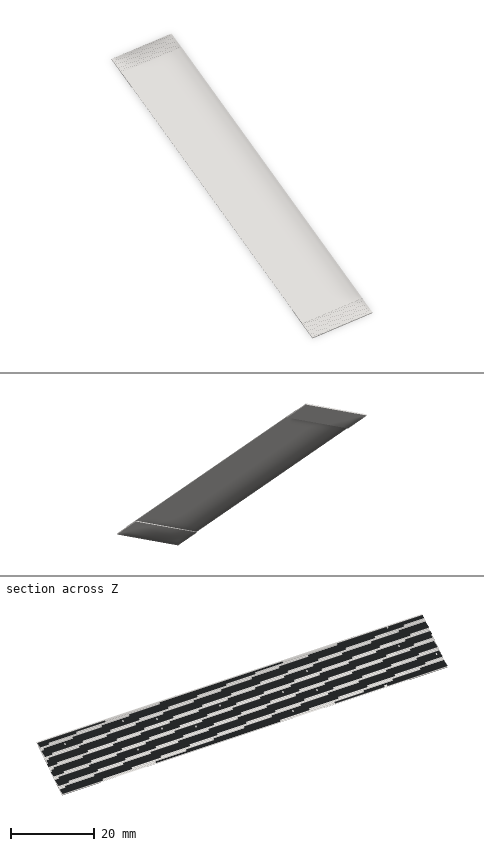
import cadquery as cq

length = 100.0
width = 16.5
total_thickness = 0.36

film_thickness = 0.06
conductor_thickness = 0.04
conductor_width = 0.3
pitch = 0.5
conductor_count = round(width / pitch) - 1

exposed_length = 5.0
stiffener_length = 10.0

conductor_top = total_thickness - film_thickness
conductor_bottom = conductor_top - conductor_thickness
stiffener_top = conductor_bottom - film_thickness


def slab(slab_length, slab_width, bottom, top, x=0, y=0):
    """Flat box centred at (x, y) and reaching from bottom to top."""
    box = cq.Workplane("XY").box(slab_length, slab_width, top - bottom, centered=(True, True, False))
    return box.translate((x, y, bottom))


cable = slab(length, width, stiffener_top, conductor_bottom)

stiffener_x = (length - stiffener_length) / 2
for x in (-stiffener_x, stiffener_x):
    cable = cable.union(slab(stiffener_length, width, 0, stiffener_top, x))

for i in range(conductor_count):
    y = (i - (conductor_count - 1) / 2) * pitch
    cable = cable.union(slab(length, conductor_width, conductor_bottom, conductor_top, y=y))

cover_length = length - 2 * exposed_length
result = cable.union(slab(cover_length, width, conductor_top, total_thickness))